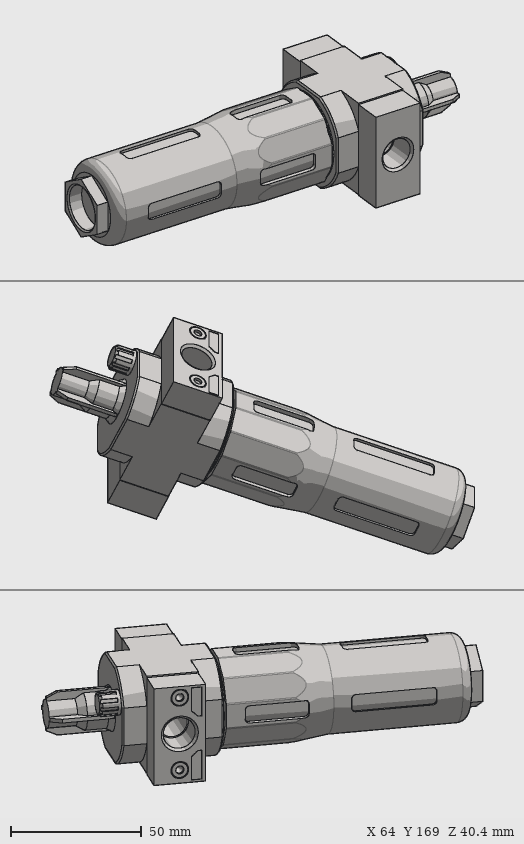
import cadquery as cq


HOUSING_WIDTH = 40.2
HOUSING_HEIGHT = 40.0
HOUSING_BACK = 19.8
HOUSING_FRONT = -20.1
HOUSING_ROUND_DIAMETER = 43.1
HOUSING_CHAMFER = 0.7
HOUSING_BORE_DIAMETER = 11.5
BAND_WIDTH = 20.3

OVERALL_WIDTH = 64.0
OVERALL_HEIGHT = 40.4
PLATE_TOP = 19.5
PLATE_BOTTOM = HOUSING_HEIGHT / 2 - OVERALL_HEIGHT
PLATE_THICKNESS = (OVERALL_WIDTH - HOUSING_WIDTH) / 2
PLATE_MIDDLE = (PLATE_TOP + PLATE_BOTTOM) / 2
PORT_DIAMETER = 12.5
PORT_MOUTH_DIAMETER = 14.5

PANEL_FRONT = -8.6
PANEL_BACK = -4.5
PANEL_OUTER = 19.0
PANEL_INNER = 7.1
PANEL_CORNER_Y = -7.1
PANEL_CORNER_Z = 9.5
PANEL_DEPTH = 0.2

PLUG_DIAMETER = 6.3
PLUG_SEAT_DIAMETER = 7.0
PLUG_LENGTH = 5.0
PLUG_OFFSET = 14.9
SOCKET_DIAMETER = 3.2
SOCKET_DEPTH = 1.0
SOCKET_CONE_DEPTH = 1.4

COLLAR_DIAMETER = 36.2
COLLAR_FRONT = -20.6
NECK_DIAMETER = 33.8
GRIP_BACK = -21.5
GRIP_FRONT = -49.0
GRIP_SIDES = 12
GRIP_ACROSS_FLATS = 37.5
GRIP_DIAMETER = 38.7
TAPER_FRONT = -64.0
BOWL_DIAMETER = 34.6
BOWL_FRONT = -119.1
BOWL_END_RADIUS = 4.4

WINDOW_WIDTH = 7.1
WINDOW_CORNER_RADIUS = 1.7
GRIP_WINDOW_FRONT = -54.0
GRIP_WINDOW_BACK = -28.9
GRIP_WINDOW_FLOOR_DIAMETER = 34.6
BODY_WINDOW_FRONT = -104.6
BODY_WINDOW_BACK = -71.1
BODY_WINDOW_FLOOR_DIAMETER = 32.6
WINDOW_COUNT = 4

CAP_FRONT = -124.0
CAP_SIDES = 6
CAP_ACROSS_FLATS = 22.0
CAP_RECESS_DIAMETER = 18.0
CAP_MOUTH_DIAMETER = 19.5
CAP_RECESS_DEPTH = 6.3
CAP_FLANGE_DIAMETER = BOWL_DIAMETER - 2 * BOWL_END_RADIUS
CAP_FLANGE_THICKNESS = 2.5

OVERALL_LENGTH = 169
DOME_TIP = CAP_FRONT + OVERALL_LENGTH
DOME_BASE_DIAMETER = 18.0
DOME_CORE_DIAMETER = 15.2
DOME_TIP_DIAMETER = 11.2
DOME_FLARE_BACK = 22.1
DOME_CONE_FRONT = 30.5
DOME_CONE_BACK = 33.8
FIN_THICKNESS = 1.5
FIN_SPAN = 17.7
FIN_TIP_SPAN = 13.5
FIN_SHOULDER = 40.5

FILLER_X = -13.7
FILLER_Z = 7.8
FILLER_DIAMETER = 10.0
FILLER_TIP = 28.0
FILLER_CHAMFER = 1.0
FLUTE_COUNT = 9
FLUTE_WIDTH = 1.5
FLUTE_DEPTH = 0.7
FLUTE_FRONT = 21.0
FLUTE_START_ANGLE = 148


def across(y):
    """Workplane facing -Y at the given Y, with X to the right and Z up."""
    return cq.Workplane("XZ", origin=(0, y, 0))


def cylinder_x(diameter, x_start, x_end, z=0):
    """Cylinder along X between two X positions."""
    plane = cq.Workplane("YZ", origin=(x_start, 0, z))
    return plane.circle(diameter / 2).extrude(x_end - x_start)


def make_housing():
    length = HOUSING_BACK - HOUSING_FRONT
    block = across(HOUSING_BACK).rect(HOUSING_WIDTH, HOUSING_HEIGHT).extrude(length)
    rounded = block.intersect(across(HOUSING_BACK).circle(HOUSING_ROUND_DIAMETER / 2).extrude(length))
    rounded = rounded.faces("<Y or >Y").chamfer(HOUSING_CHAMFER)
    band = cq.Workplane("XY").box(HOUSING_WIDTH, BAND_WIDTH, HOUSING_HEIGHT)
    bore = cylinder_x(HOUSING_BORE_DIAMETER, -HOUSING_WIDTH / 2, HOUSING_WIDTH / 2)
    return rounded.union(band).cut(bore)


def make_plate(side):
    """Plate with a chamfered port; side is -1 at -X or 1 at +X."""
    inner_x = side * HOUSING_WIDTH / 2
    outer_x = side * OVERALL_WIDTH / 2
    mouth_depth = (PORT_MOUTH_DIAMETER - PORT_DIAMETER) / 2
    plate = cq.Workplane("XY").box(PLATE_THICKNESS, BAND_WIDTH, PLATE_TOP - PLATE_BOTTOM)
    plate = plate.translate(((inner_x + outer_x) / 2, 0, PLATE_MIDDLE))
    plate = plate.cut(cylinder_x(PORT_DIAMETER, inner_x, outer_x))
    outer_face = plate.faces(">X" if side > 0 else "<X")
    return outer_face.edges("%CIRCLE").chamfer(mouth_depth)


def make_label_panels():
    outer_x = -OVERALL_WIDTH / 2
    outline = [
        (PANEL_BACK, PANEL_OUTER),
        (PANEL_FRONT, PANEL_OUTER),
        (PANEL_FRONT, PANEL_INNER),
        (PANEL_CORNER_Y, PANEL_INNER),
        (PANEL_BACK, PANEL_CORNER_Z),
    ]
    plane = cq.Workplane("YZ", origin=(outer_x, 0, PLATE_MIDDLE))
    upper = plane.polyline(outline).close().extrude(PANEL_DEPTH)
    lower = plane.polyline([(y, -z) for y, z in outline]).close().extrude(PANEL_DEPTH)
    return upper.union(lower)


def make_plug_seat(z):
    outer_x = -OVERALL_WIDTH / 2
    return cylinder_x(PLUG_SEAT_DIAMETER, outer_x, outer_x + PLUG_LENGTH, z)


def make_plug(z):
    """Plug flush with the plate, with a round socket that ends in a cone."""
    profile = [
        (0, PLUG_LENGTH),
        (PLUG_DIAMETER / 2, PLUG_LENGTH),
        (PLUG_DIAMETER / 2, 0),
        (SOCKET_DIAMETER / 2, 0),
        (SOCKET_DIAMETER / 2, SOCKET_DEPTH),
        (0, SOCKET_DEPTH + SOCKET_CONE_DEPTH),
    ]
    plane = cq.Workplane(cq.Plane(origin=(-OVERALL_WIDTH / 2, 0, z), xDir=(0, 1, 0), normal=(0, 0, -1)))
    return plane.polyline(profile).close().revolve(360, (0, 0), (0, 1))


def make_window(front, back, floor_diameter):
    """Rounded slot cutter on the +Z side, down to a round floor about the Y axis."""
    slot = (
        cq.Workplane("XY", origin=(0, (front + back) / 2, 0))
        .rect(WINDOW_WIDTH, back - front)
        .extrude(GRIP_DIAMETER)
        .edges("|Z")
        .fillet(WINDOW_CORNER_RADIUS)
    )
    return slot.cut(across(back).circle(floor_diameter / 2).extrude(back - front))


def make_bowl():
    grip_radius = GRIP_DIAMETER / 2
    bowl_radius = BOWL_DIAMETER / 2
    bowl = (
        cq.Workplane("XY")
        .moveTo(0, HOUSING_FRONT)
        .lineTo(COLLAR_DIAMETER / 2, HOUSING_FRONT)
        .lineTo(COLLAR_DIAMETER / 2, COLLAR_FRONT)
        .lineTo(NECK_DIAMETER / 2, COLLAR_FRONT)
        .lineTo(NECK_DIAMETER / 2, GRIP_BACK)
        .lineTo(grip_radius, GRIP_BACK)
        .lineTo(grip_radius, GRIP_FRONT)
        .lineTo(bowl_radius, TAPER_FRONT)
        .lineTo(bowl_radius, BOWL_FRONT + BOWL_END_RADIUS)
        .radiusArc((bowl_radius - BOWL_END_RADIUS, BOWL_FRONT), BOWL_END_RADIUS)
        .lineTo(0, BOWL_FRONT)
        .close()
        .revolve(360, (0, 0), (0, 1))
    )
    flats = (
        across(HOUSING_FRONT)
        .polygon(GRIP_SIDES, GRIP_ACROSS_FLATS, circumscribed=True)
        .extrude(HOUSING_FRONT - BOWL_FRONT)
    )
    bowl = bowl.intersect(flats)
    grip_window = make_window(GRIP_WINDOW_FRONT, GRIP_WINDOW_BACK, GRIP_WINDOW_FLOOR_DIAMETER)
    body_window = make_window(BODY_WINDOW_FRONT, BODY_WINDOW_BACK, BODY_WINDOW_FLOOR_DIAMETER)
    for window in (grip_window, body_window):
        for index in range(WINDOW_COUNT):
            bowl = bowl.cut(window.rotate((0, 0, 0), (0, 1, 0), index * 360 / WINDOW_COUNT))
    return bowl.cut(make_cap_flange())


def make_cap_flange():
    flange_back = BOWL_FRONT + CAP_FLANGE_THICKNESS
    return across(flange_back).circle(CAP_FLANGE_DIAMETER / 2).extrude(CAP_FLANGE_THICKNESS)


def make_cap():
    hexagon = (
        across(BOWL_FRONT)
        .polygon(CAP_SIDES, CAP_ACROSS_FLATS, circumscribed=True)
        .extrude(BOWL_FRONT - CAP_FRONT)
    )
    recess_floor = CAP_FRONT + CAP_RECESS_DEPTH
    recess = across(recess_floor).circle(CAP_RECESS_DIAMETER / 2).extrude(CAP_RECESS_DEPTH)
    cap = hexagon.union(make_cap_flange()).cut(recess)
    mouth_chamfer = (CAP_MOUTH_DIAMETER - CAP_RECESS_DIAMETER) / 2
    return cap.faces("<Y").edges("%CIRCLE").chamfer(mouth_chamfer)


def make_dome():
    base = DOME_BASE_DIAMETER / 2
    core = DOME_CORE_DIAMETER / 2
    tip = DOME_TIP_DIAMETER / 2
    profile = [
        (0, HOUSING_BACK),
        (base, HOUSING_BACK),
        (core, DOME_FLARE_BACK),
        (core, DOME_CONE_FRONT),
        (tip, DOME_CONE_BACK),
        (tip, DOME_TIP),
        (0, DOME_TIP),
    ]
    dome = cq.Workplane("XY").polyline(profile).close().revolve(360, (0, 0), (0, 1))
    fin_outline = [
        (-FIN_SPAN / 2, HOUSING_BACK),
        (-FIN_SPAN / 2, FIN_SHOULDER),
        (-FIN_TIP_SPAN / 2, DOME_TIP),
        (FIN_TIP_SPAN / 2, DOME_TIP),
        (FIN_SPAN / 2, FIN_SHOULDER),
        (FIN_SPAN / 2, HOUSING_BACK),
    ]
    fin = cq.Workplane("XY").polyline(fin_outline).close().extrude(FIN_THICKNESS / 2, both=True)
    return dome.union(fin).union(fin.rotate((0, 0, 0), (0, 1, 0), 90))


def make_filler_screw():
    radius = FILLER_DIAMETER / 2
    screw = across(FILLER_TIP).circle(radius).extrude(FILLER_TIP - HOUSING_BACK)
    screw = screw.faces(">Y").chamfer(FILLER_CHAMFER)
    flute = (
        across(FILLER_TIP)
        .center(radius, 0)
        .rect(2 * FLUTE_DEPTH, FLUTE_WIDTH)
        .extrude(FILLER_TIP - FLUTE_FRONT)
    )
    for index in range(FLUTE_COUNT):
        angle = FLUTE_START_ANGLE + index * 360 / FLUTE_COUNT
        screw = screw.cut(flute.rotate((0, 0, 0), (0, -1, 0), angle))
    return screw.translate((FILLER_X, 0, FILLER_Z))


housing = make_housing()
plates = [make_plate(side) for side in (-1, 1)]
plates[0] = plates[0].cut(make_label_panels())
plugs = []
for plug_z in (-PLUG_OFFSET, PLUG_OFFSET):
    plates[0] = plates[0].cut(make_plug_seat(plug_z))
    plugs.append(make_plug(plug_z))
bowl = make_bowl()
cap = make_cap()
dome = make_dome()
filler_screw = make_filler_screw()

bodies = [housing, *plates, *plugs, bowl, cap, dome, filler_screw]
result = cq.Compound.makeCompound([body.solids().val() for body in bodies])